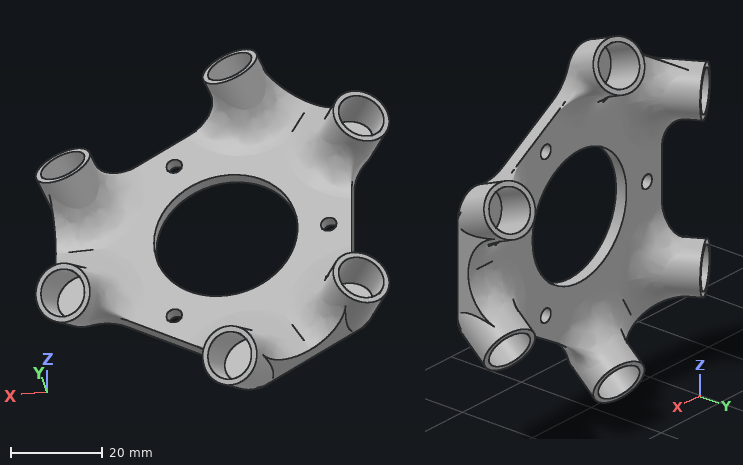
import cadquery as cq
import math

plate_thickness = 3.0
short_edge_distance = 28.1
center_hole_diameter = 32.0
screw_hole_diameter = 3.5
screw_hole_distance = 23.0

tube_outer_diameter = 13.0
tube_bore_diameter = 10.5
tube_tilt = 30.0
tube_spacing = 43.0
tube_base_distance = 25.0
overall_depth = 15.3
blend_radius = 10.0
pair_angles = (0, 120, 240)

tilt = math.radians(tube_tilt)
tube_radius = tube_outer_diameter / 2
foot_half_length = tube_radius / math.cos(tilt)
tube_side = tube_spacing / 2
tube_length = (overall_depth - tube_radius * math.sin(tilt)) / math.cos(tilt)
tube_axis = cq.Vector(-math.sin(tilt), 0, math.cos(tilt))
tube_base = cq.Vector(-tube_base_distance, tube_side, 0)

normal_x = -math.cos(math.radians(60))
normal_y = math.sin(math.radians(60))
foot_reach = math.hypot(foot_half_length * normal_x, tube_radius * normal_y)
long_edge_distance = -tube_base_distance * normal_x + tube_side * normal_y + foot_reach

oversize = 70.9


def turn(shape, angle):
    return shape.rotate((0, 0, 0), (0, 0, 1), angle)


def on_every_pair(shape):
    """Repeat a shape made for one tube at all six tubes."""
    pair = shape.union(shape.mirror("XZ"))
    whole = pair
    for angle in pair_angles[1:]:
        whole = whole.union(turn(pair, angle))
    return whole


def tilted_cylinder(diameter, floor):
    """Cylinder on the tube axis, cut level at the floor height."""
    extra = 2 * tube_outer_diameter
    start = tube_base - tube_axis * extra
    cylinder = cq.Workplane(cq.Solid.makeCylinder(diameter / 2, tube_length + extra, start, tube_axis))
    above_floor = cq.Workplane("XY").workplane(offset=floor).circle(oversize).extrude(oversize)
    return cylinder.intersect(above_floor)


def plate_sector():
    """Sixth of the space inside the long edges, open beyond the short edge."""
    middle = (long_edge_distance * normal_x, long_edge_distance * normal_y)
    far_end = (middle[0] - oversize * normal_y, middle[1] + oversize * normal_x)
    return (
        cq.Workplane("XY")
        .polyline([(0, 0), middle, far_end, (far_end[0], 0)])
        .close()
        .extrude(oversize)
    )


def blended_tube():
    """Tube flaring into a slab's top and short edge, trimmed to its sector of the plate."""
    tube = tilted_cylinder(tube_outer_diameter, 0)
    slab = (
        cq.Workplane("XY")
        .box(oversize, 2 * oversize, plate_thickness, centered=(False, True, False))
        .translate((-short_edge_distance, 0, 0))
    )
    joint = cq.selectors.BoxSelector(
        (-oversize, 0, plate_thickness / 4),
        (oversize, oversize, plate_thickness * 1.1),
    )
    flared = slab.union(tube).edges("%ELLIPSE").edges(joint).fillet(blend_radius)
    return flared.intersect(plate_sector()).union(tube)


body = on_every_pair(blended_tube())
body = body.cut(on_every_pair(tilted_cylinder(tube_bore_diameter, plate_thickness)))

center_hole = cq.Workplane("XY").circle(center_hole_diameter / 2).extrude(plate_thickness)
body = body.cut(center_hole)

screw_hole = (
    cq.Workplane("XY")
    .center(-screw_hole_distance, 0)
    .circle(screw_hole_diameter / 2)
    .extrude(plate_thickness)
)
for angle in pair_angles:
    body = body.cut(turn(screw_hole, angle))

result = body.rotate((0, 0, 0), (1, 0, 0), -90)